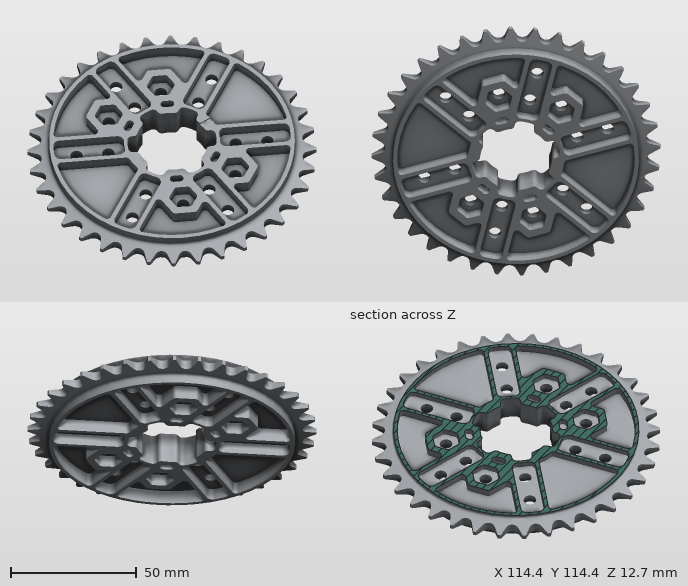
import cadquery as cq
import math

THICKNESS = 12.7
HOLE_PITCH = 12.7

TOOTH_COUNT = 36
OUTER_EXTENT = 114.37
ROOT_RADIUS = 52.05
VALLEY_RADIUS = 2.7
TIP_HALF_WIDTH = 0.6
TIP_HALF_THICKNESS = 0.95
TOOTH_FACE_ANGLE = 10.6

DRUM_RADIUS = 48.82
DRUM_FILLET = 0.85

BORE_RADIUS = 14.3
LOBE_COUNT = 6
LOBE_RADIUS = 17.75
LOBE_WIDTH = 8.0
LOBE_OUTER_FILLET = 2.0
LOBE_INNER_FILLET = 1.7

HUB_RADIUS = 19.1
RIM_INNER_RADIUS = 47.2
WIDE_SECTOR_DEPTH = 5.0
BOSS_SECTOR_DEPTH = 5.6
SECTOR_FILLET = 1.6
RIB_THICKNESS = 1.75

ARM_WIDTH = 9.3
ARM_DEPTH = 4.7
ARM_FILLET = 2.54
HOLE_DIAMETER = 5.0

NUT_ACROSS_FLATS = 9.95
NUT_DEPTH = 4.9
NUT_FILLET = 1.5
NUT_WALL = 3.0

OVAL_DISTANCE = 18.87
OVAL_LENGTH = 5.5
OVAL_WIDTH = 3.07
OVAL_DEPTH = 5.0

GROOVE_WIDTH = 1.8
GROOVE_DEPTH = 0.75

FIT_TOLERANCE = 0.01

HALF_THICKNESS = THICKNESS / 2
LOBE_ANGLE = 360 / LOBE_COUNT
TOOTH_ANGLE = 360 / TOOTH_COUNT
TIP_HALF_ANGLE = math.degrees(math.asin(2 * TIP_HALF_WIDTH / OUTER_EXTENT))
TIP_CORNER_ANGLE = TOOTH_ANGLE / 2 - TIP_HALF_ANGLE
TIP_RADIUS = OUTER_EXTENT / 2 / math.cos(math.radians(TIP_CORNER_ANGLE))
ARM_SLOPE = math.radians(LOBE_ANGLE)
ARM_ANGLES = [i * LOBE_ANGLE for i in range(LOBE_COUNT)]
SECTOR_OFFSET = ARM_WIDTH / 2 + RIB_THICKNESS
HOLE_RADII = (2 * HOLE_PITCH, 3 * HOLE_PITCH)
NUT_X = 2 * HOLE_PITCH
NUT_Y = HOLE_PITCH
NUT_CENTERS = [(NUT_X, NUT_Y), (NUT_X, -NUT_Y), (-NUT_X, NUT_Y), (-NUT_X, -NUT_Y)]
BOSS_ACROSS_FLATS = NUT_ACROSS_FLATS + 2 * NUT_WALL
HEX_SIDES = 6
HEX_CORNER_RATIO = 1 / math.cos(math.pi / HEX_SIDES)
HEX_SLOPE = math.tan(2 * math.pi / HEX_SIDES)


def polar(radius, degrees):
    """Point at the given radius and angle about the Z axis."""
    angle = math.radians(degrees)
    return (radius * math.cos(angle), radius * math.sin(angle))


def turn(body, degrees):
    """Rotate a body about the Z axis."""
    return body.rotate((0, 0, 0), (0, 0, 1), degrees)


def prism(draw_outline):
    """Extrude the outline that draw_outline adds to a plane over the whole part thickness."""
    return draw_outline(cq.Workplane("XY", origin=(0, 0, -HALF_THICKNESS))).extrude(THICKNESS)


def vertical_edges(body, min_radius, max_radius):
    """Edges parallel to Z lying between two distances from the axis."""
    return [
        edge
        for edge in body.edges("|Z").vals()
        if min_radius < math.hypot(edge.Center().x, edge.Center().y) < max_radius
    ]


def cut_both_faces(body, cutter, depth):
    """Sink a full-height cutter into the top and bottom faces to the given depth."""
    top = cutter.translate((0, 0, THICKNESS - depth))
    bottom = cutter.translate((0, 0, depth - THICKNESS))
    return body.cut(top).cut(bottom)


def make_revolved_blank():
    """Drum with a thin tapered rim for the teeth."""
    taper = math.radians(TOOTH_FACE_ANGLE)
    fillet_end_r = DRUM_RADIUS + DRUM_FILLET
    fillet_end_z = TIP_HALF_THICKNESS + (TIP_RADIUS - fillet_end_r) * math.tan(taper)
    fillet_start_z = fillet_end_z + DRUM_FILLET
    profile = (
        cq.Workplane("YZ")
        .moveTo(0, -HALF_THICKNESS)
        .lineTo(DRUM_RADIUS, -HALF_THICKNESS)
        .lineTo(DRUM_RADIUS, -fillet_start_z)
        .radiusArc((fillet_end_r, -fillet_end_z), DRUM_FILLET)
        .lineTo(TIP_RADIUS, -TIP_HALF_THICKNESS)
        .lineTo(TIP_RADIUS, TIP_HALF_THICKNESS)
        .lineTo(fillet_end_r, fillet_end_z)
        .radiusArc((DRUM_RADIUS, fillet_start_z), DRUM_FILLET)
        .lineTo(DRUM_RADIUS, HALF_THICKNESS)
        .lineTo(0, HALF_THICKNESS)
        .close()
    )
    return profile.revolve(360, (0, 0, 0), (0, 1, 0))


def make_tooth_gap():
    """Cutter for one valley on +X: round seat with straight flanks tangent to it."""
    seat_center = ROOT_RADIUS + VALLEY_RADIUS
    tip = polar(TIP_RADIUS, TIP_CORNER_ANGLE)
    dx = tip[0] - seat_center
    dy = tip[1]
    tangent_angle = math.atan2(dy, dx) + math.acos(VALLEY_RADIUS / math.hypot(dx, dy))
    tangent = (
        seat_center + VALLEY_RADIUS * math.cos(tangent_angle),
        VALLEY_RADIUS * math.sin(tangent_angle),
    )
    beyond = TIP_RADIUS + TIP_HALF_WIDTH
    return prism(
        lambda plane: plane.moveTo(tip[0], -tip[1])
        .lineTo(tangent[0], -tangent[1])
        .threePointArc((ROOT_RADIUS, 0), tangent)
        .lineTo(*tip)
        .lineTo(beyond, tip[1])
        .lineTo(beyond, -tip[1])
        .close()
    )


def cut_teeth(body):
    """Cut the valleys all round the rim."""
    gap = make_tooth_gap()
    gaps = cq.Compound.makeCompound(
        [turn(gap, i * TOOTH_ANGLE).val() for i in range(TOOTH_COUNT)]
    )
    return body.cut(cq.Workplane(obj=gaps))


def make_bore():
    """Round bore with radial lobes, all corners rounded."""
    lobes = prism(lambda plane: plane.circle(BORE_RADIUS))
    bar = prism(lambda plane: plane.rect(3 * LOBE_RADIUS, LOBE_WIDTH))
    for angle in ARM_ANGLES[: LOBE_COUNT // 2]:
        lobes = lobes.union(turn(bar, angle))
    lobes = lobes.intersect(prism(lambda plane: plane.circle(LOBE_RADIUS)))
    middle_radius = (BORE_RADIUS + LOBE_RADIUS) / 2
    outer_edges = vertical_edges(lobes, middle_radius, 2 * LOBE_RADIUS)
    lobes = lobes.newObject(outer_edges).fillet(LOBE_OUTER_FILLET)
    inner_edges = vertical_edges(lobes, 0, BORE_RADIUS + FIT_TOLERANCE)
    return lobes.newObject(inner_edges).fillet(LOBE_INNER_FILLET)


def make_pocket_ring():
    """Ring between the hub and the rim that holds the pockets."""
    return prism(lambda plane: plane.circle(RIM_INNER_RADIUS).circle(HUB_RADIUS))


def make_arm_pocket():
    """Round-cornered pocket along +X."""
    pocket = prism(lambda plane: plane.center(DRUM_RADIUS / 2, 0).rect(DRUM_RADIUS, ARM_WIDTH))
    return pocket.intersect(make_pocket_ring()).edges("|Z").fillet(ARM_FILLET)


def rib_line_point(y):
    """Point at height y on the sector side of the rib along the first inclined arm (+X side)."""
    return ((y * math.cos(ARM_SLOPE) + SECTOR_OFFSET) / math.sin(ARM_SLOPE), y)


def round_sector(outline_points):
    """Extrude a straight-sided outline, trim it to the hub and rim and round its corners."""
    pocket = prism(lambda plane: plane.polyline(outline_points).close())
    pocket = pocket.intersect(make_pocket_ring())
    return pocket.edges("|Z").fillet(SECTOR_FILLET)


def make_wide_sector():
    """Pocket around +Y between two inclined arms, bounded by the hub and the rim."""
    def side_x(y):
        return (y * math.cos(ARM_SLOPE) - SECTOR_OFFSET) / math.sin(ARM_SLOPE)

    inner_y = BORE_RADIUS
    inner = side_x(inner_y)
    outer = side_x(DRUM_RADIUS)
    return round_sector(
        [
            (-inner, inner_y),
            (inner, inner_y),
            (outer, DRUM_RADIUS),
            (-outer, DRUM_RADIUS),
        ]
    )


def make_boss_sector():
    """Pocket in the +X +Y quadrant that steps around the nut boss."""
    apothem = BOSS_ACROSS_FLATS / 2
    corner = apothem * HEX_CORNER_RATIO
    boss_top = NUT_Y + apothem
    lower_edge_x = NUT_X + corner - (NUT_Y - SECTOR_OFFSET) / HEX_SLOPE
    return round_sector(
        [
            (lower_edge_x, SECTOR_OFFSET),
            (NUT_X + corner, NUT_Y),
            (NUT_X + corner / 2, boss_top),
            rib_line_point(boss_top),
            rib_line_point(DRUM_RADIUS),
            (DRUM_RADIUS, DRUM_RADIUS),
            (DRUM_RADIUS, SECTOR_OFFSET),
        ]
    )


def cut_sectors(body):
    """Two wide pockets across Y and four stepped ones, one per quadrant."""
    wide = make_wide_sector()
    stepped = make_boss_sector()
    for sector in (wide, wide.mirror("XZ")):
        body = cut_both_faces(body, sector, WIDE_SECTOR_DEPTH)
    for right in (stepped, stepped.mirror("XZ")):
        for sector in (right, right.mirror("YZ")):
            body = cut_both_faces(body, sector, BOSS_SECTOR_DEPTH)
    return body


def cut_arms(body):
    """Arm pockets and the two through holes on each of them."""
    pocket = make_arm_pocket()
    for angle in ARM_ANGLES:
        body = cut_both_faces(body, turn(pocket, angle), ARM_DEPTH)
    holes = [polar(radius, angle) for radius in HOLE_RADII for angle in ARM_ANGLES]
    return body.cut(prism(lambda plane: plane.pushPoints(holes).circle(HOLE_DIAMETER / 2)))


def cut_nut_pockets(body):
    """Hexagonal pockets with a through hole in each boss."""
    nut_across_corners = NUT_ACROSS_FLATS * HEX_CORNER_RATIO
    pockets = prism(
        lambda plane: plane.pushPoints(NUT_CENTERS).polygon(HEX_SIDES, nut_across_corners)
    )
    body = cut_both_faces(body, pockets.edges("|Z").fillet(NUT_FILLET), NUT_DEPTH)
    return body.cut(prism(lambda plane: plane.pushPoints(NUT_CENTERS).circle(HOLE_DIAMETER / 2)))


def cut_ovals(body):
    """Oval recesses lying tangentially, between the horizontal and the inclined arms."""
    half_step = LOBE_ANGLE / 2
    oval = prism(lambda plane: plane.center(OVAL_DISTANCE, 0).slot2D(OVAL_LENGTH, OVAL_WIDTH, 90))
    for angle in (half_step, 180 - half_step, 180 + half_step, -half_step):
        body = cut_both_faces(body, turn(oval, angle), OVAL_DEPTH)
    return body


def cut_index_groove(body):
    """Shallow groove in the top face, from the bore to the +Y sector pocket."""
    groove = (
        cq.Workplane("XY", origin=(0, (BORE_RADIUS + HUB_RADIUS) / 2, HALF_THICKNESS))
        .box(GROOVE_WIDTH, HUB_RADIUS - BORE_RADIUS + 2 * GROOVE_WIDTH, 2 * GROOVE_DEPTH)
    )
    return body.cut(groove)


result = cut_teeth(make_revolved_blank())
result = result.cut(make_bore())
result = cut_sectors(result)
result = cut_arms(result)
result = cut_nut_pockets(result)
result = cut_ovals(result)
result = cut_index_groove(result)